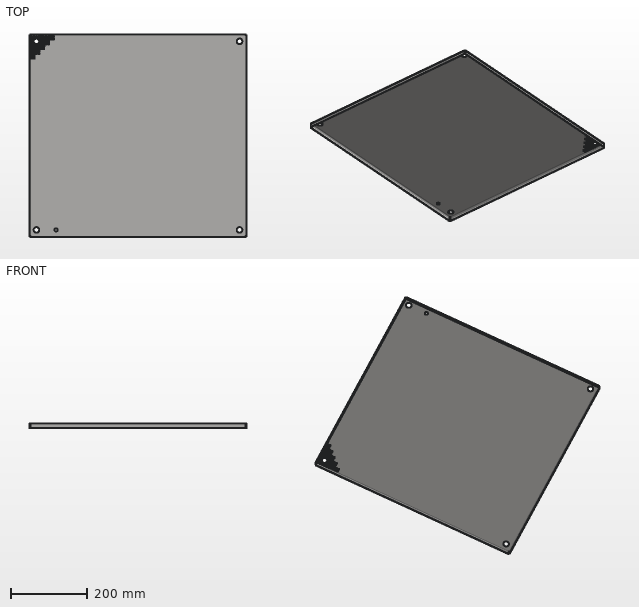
import cadquery as cq
import math

length = 571.5
width = 533.0
height = 12.5

sheet = 1.5
bend_radius = 2.65

perforation_diameter = 3.5
perforation_pitch = 6.5
longest_row_count = 10
rows_per_step = 2
holes_lost_per_step = 2

mount_diameter = 14.5
mount_inset = 3 * perforation_pitch
mount_x = length / 2 - mount_inset
mount_y = width / 2 - mount_inset

pilot_diameter = 8.0
pilot_inset = 70.5
pilot_x = -length / 2 + pilot_inset


def rounded_bar(plane, span, run, bar_height, radius):
    """Bar centred on the origin, standing on Z = 0, with its two long top edges rounded."""
    long_edges = "|Y" if plane == "XZ" else "|X"
    bar = cq.Workplane(plane).center(0, bar_height / 2).rect(span, bar_height).extrude(run / 2, both=True)
    return bar.faces(">Z").edges(long_edges).fillet(radius)


def folded_channel(plane, span, run):
    """Top panel with a flange bent down along each of two opposite sides."""
    outside = rounded_bar(plane, span, run, height, bend_radius)
    inside = rounded_bar(plane, span - 2 * sheet, run, height - sheet, bend_radius - sheet)
    return outside.cut(inside)


def folded_tray():
    """Panel with four flanges that end at the bend lines, leaving an open notch at each corner."""
    x_flanges = folded_channel("XZ", length, width - 2 * bend_radius)
    y_flanges = folded_channel("YZ", width, length - 2 * bend_radius)
    return x_flanges.union(y_flanges)


def perforation_centres():
    """Grid places of the stepped triangle, without those centred inside the mounting hole."""
    centres = []
    for row in range(longest_row_count):
        row_count = longest_row_count - holes_lost_per_step * (row // rows_per_step)
        y = width / 2 - (row + 1) * perforation_pitch
        for column in range(row_count):
            x = -length / 2 + (column + 1) * perforation_pitch
            if math.hypot(x + mount_x, y - mount_y) > mount_diameter / 2:
                centres.append((x, y))
    return centres


def hole_cutters(centres, diameter):
    return cq.Workplane("XY").pushPoints(centres).circle(diameter / 2).extrude(height)


mount_centres = [(x, y) for x in (-mount_x, mount_x) for y in (-mount_y, mount_y)]
pilot_centres = [(pilot_x, -mount_y)]

result = (
    folded_tray()
    .cut(hole_cutters(mount_centres, mount_diameter))
    .cut(hole_cutters(pilot_centres, pilot_diameter))
    .cut(hole_cutters(perforation_centres(), perforation_diameter))
)